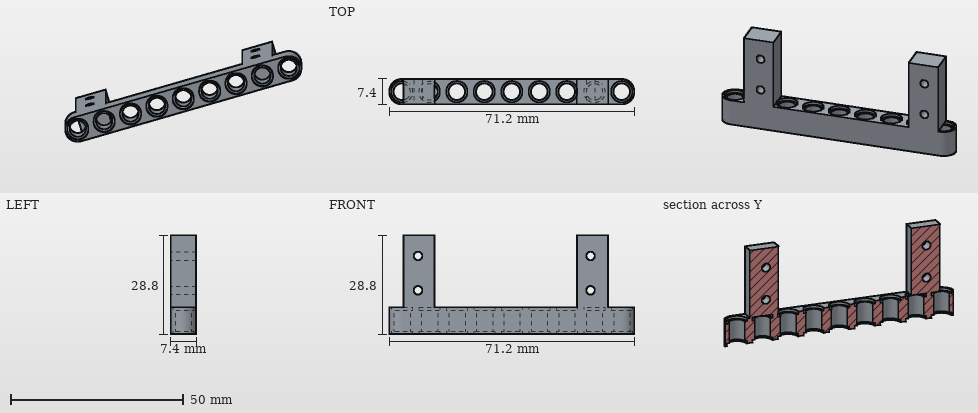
import cadquery as cq

beam_length = 71.15
beam_width = 7.4
beam_height = 7.8

hole_count = 9
hole_diameter = 4.8
counterbore_diameter = 6.2
counterbore_depth = 0.85
hole_pitch = (beam_length - beam_width) / (hole_count - 1)

total_height = 28.75
post_width = 9.0
post_spacing = 50.3
left_post_x = -26.9

cross_hole_diameter = 2.4
cross_hole_spacing = 50.0
left_cross_hole_x = -27.2
cross_hole_heights = (12.7, 22.7)


def make_beam():
    """Round-ended bar with a row of holes counterbored from both faces."""
    beam = cq.Workplane("XY").slot2D(beam_length, beam_width).extrude(beam_height)
    for face in (">Z", "<Z"):
        beam = (
            beam.faces(face)
            .workplane(origin=(0, 0, 0))
            .rarray(hole_pitch, 0.7, hole_count, 1)
            .cboreHole(hole_diameter, counterbore_diameter, counterbore_depth)
        )
    return beam


def make_post(center_x):
    """Square-edged post standing on top of the beam."""
    return (
        cq.Workplane("XY", origin=(center_x, 0, beam_height))
        .rect(post_width, beam_width)
        .extrude(total_height - beam_height)
    )


def make_cross_holes(center_x):
    """Pair of pins, along Y, that cut the holes of one post."""
    return (
        cq.Workplane("XZ")
        .pushPoints([(center_x, height) for height in cross_hole_heights])
        .circle(cross_hole_diameter / 2)
        .extrude(beam_width / 2, both=True)
    )


result = make_beam()
for post_x in (left_post_x, left_post_x + post_spacing):
    result = result.union(make_post(post_x))
for cross_hole_x in (left_cross_hole_x, left_cross_hole_x + cross_hole_spacing):
    result = result.cut(make_cross_holes(cross_hole_x))